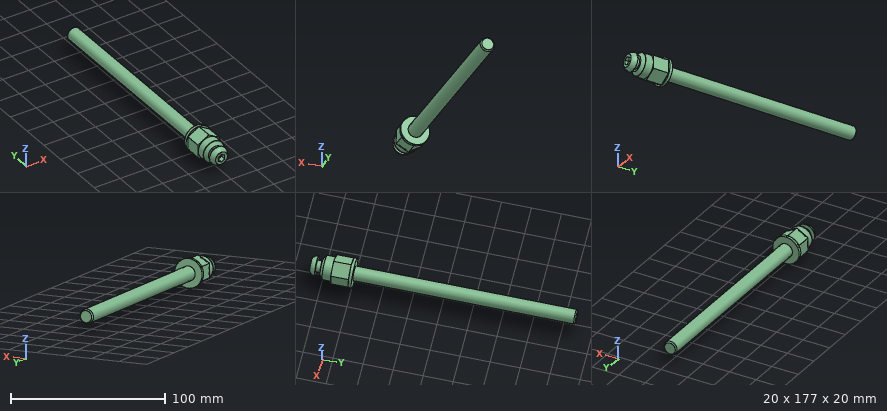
import cadquery as cq
import math

total_length = 177.0
head_length = 3.9
neck_length = 3.2
cone_length = 2.1
collar_length = 5.8
hex_length = 11.9
flange_thickness = 2.1

rod_diameter = 10.0
flange_diameter = 20.0
hex_across_flats = 17.0
collar_diameter = 16.5
cone_base_diameter = 16.0
cone_end_diameter = 11.0
neck_diameter = 8.0
head_diameter = 13.6
head_face_diameter = 9.2
rod_chamfer = 0.9
head_bulge = 0.5

socket_across_flats = 5.0
socket_depth = 3.9

neck_start = head_length
cone_start = neck_start + neck_length
collar_start = cone_start + cone_length
hex_start = collar_start + collar_length
flange_start = hex_start + hex_length
rod_start = flange_start + flange_thickness


def hex_prism(across_flats, start, length):
    """Hexagonal prism along +Y with two corners on the Z axis."""
    across_corners = across_flats / math.cos(math.pi / 6)
    return (
        cq.Workplane("XZ", origin=(0, start, 0))
        .transformed(rotate=(0, 0, 90))
        .polygon(6, across_corners)
        .extrude(-length)
    )


def turned_body():
    """Head, neck, collar, flange and rod revolved about the Y axis."""
    head_radius = head_diameter / 2
    face_radius = head_face_diameter / 2
    return (
        cq.Workplane("XY")
        .lineTo(face_radius, 0)
        .sagittaArc((head_radius, neck_start), -head_bulge)
        .lineTo(neck_diameter / 2, neck_start)
        .lineTo(neck_diameter / 2, cone_start)
        .lineTo(cone_end_diameter / 2, cone_start)
        .lineTo(cone_base_diameter / 2, collar_start)
        .lineTo(collar_diameter / 2, collar_start)
        .lineTo(collar_diameter / 2, flange_start)
        .lineTo(flange_diameter / 2, flange_start)
        .lineTo(flange_diameter / 2, rod_start)
        .lineTo(rod_diameter / 2, rod_start)
        .lineTo(rod_diameter / 2, total_length - rod_chamfer)
        .lineTo(rod_diameter / 2 - rod_chamfer, total_length)
        .lineTo(0, total_length)
        .close()
        .revolve(360, (0, 0, 0), (0, 1, 0))
    )


wrench_hex = hex_prism(hex_across_flats, hex_start, hex_length)
drive_socket = hex_prism(socket_across_flats, 0, socket_depth)

result = turned_body().union(wrench_hex).cut(drive_socket)
result = result.translate((0, -total_length / 2, 0))